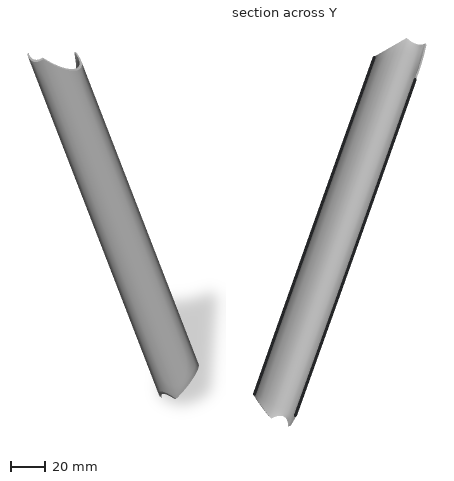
import cadquery as cq
import math

OUTER_RADIUS = 14.0
WALL = 1.01
TUBE_LENGTH = 293.0
AXIS_MIDPOINT = cq.Vector(1.8, 0.5, 0)
AXIS = cq.Vector(-0.356, -0.0185, 1).normalized()
SIDE = (cq.Vector(1, 0, 0) - AXIS * AXIS.x).normalized()
CUT_SIZE = 450.9
CUT_DEPTH = 135.3

TOP_RIM = [(47, 107.5), (90, 83.5), (204, 119.7), (251, 117.7), (270, 119.3), (350, 102.8)]
BOTTOM_RIM = [(49, -106.5), (93, -94.7), (205, -115.0), (256, -110.2), (273, -114.3), (0, -104.8)]


def rim_point(angle, station):
    """Point on the outer surface of the tube."""
    turn = math.radians(angle)
    across = AXIS.cross(SIDE)
    radial = SIDE * math.cos(turn) + across * math.sin(turn)
    return AXIS_MIDPOINT + AXIS * station + radial * OUTER_RADIUS


def cut_block(first_tip, valley, next_tip, outward):
    """Block lying beyond the plane through three rim points."""
    origin = rim_point(*valley)
    first_edge = rim_point(*first_tip) - origin
    next_edge = rim_point(*next_tip) - origin
    normal = first_edge.cross(next_edge)
    if normal.dot(outward) < 0:
        normal = normal * -1
    plane = cq.Plane(origin=origin, xDir=first_edge, normal=normal)
    return cq.Workplane(plane).rect(CUT_SIZE, CUT_SIZE).extrude(CUT_DEPTH)


def trim_end(body, rim, outward):
    """Trim one tube end with the three planes of its rim."""
    for tip in range(0, len(rim), 2):
        next_tip = (tip + 2) % len(rim)
        body = body.cut(cut_block(rim[tip], rim[tip + 1], rim[next_tip], outward))
    return body


tube_start = AXIS_MIDPOINT - AXIS * (TUBE_LENGTH / 2)
tube = (
    cq.Workplane(cq.Plane(origin=tube_start, xDir=SIDE, normal=AXIS))
    .circle(OUTER_RADIUS)
    .circle(OUTER_RADIUS - WALL)
    .extrude(TUBE_LENGTH)
)
tube = trim_end(tube, TOP_RIM, AXIS)
result = trim_end(tube, BOTTOM_RIM, AXIS * -1)